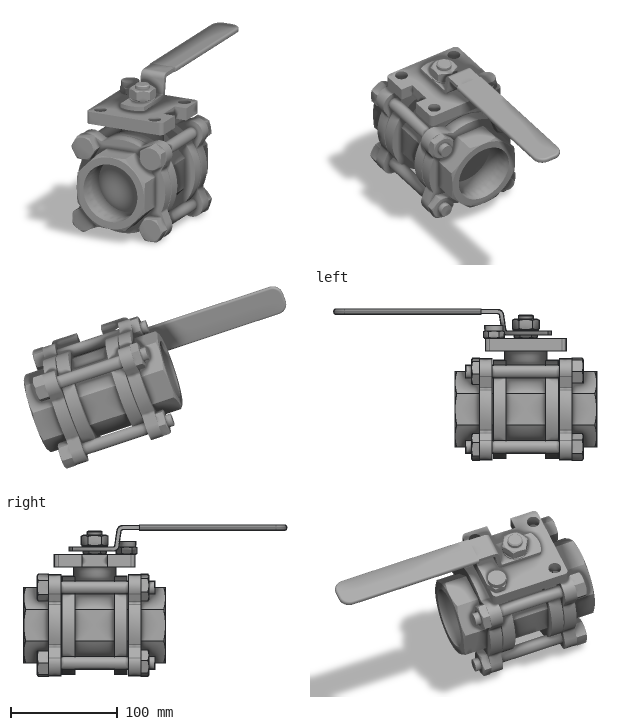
import math

import cadquery as cq


BODY_LENGTH = 133.0
OCTAGON_FLATS = 71.0
OCTAGON_FIRST_VERTEX = 22.5
CHAMFER_ANGLE = 30.0
HEX_FACE_RATIO = 0.97
OCTAGON_FACE_DIAMETER = 70.6
BORE_DIAMETER = 55.17
THREAD_DEPTH = 16.0
THREAD_MOUTH_DIAMETER = 56.6
BORE_DEPTH = 30.5

FLANGE_RADIUS = 46.0
FLANGE_THICKNESS = 12.0
BODY_FLANGE_OUTER_Y = 30.5
CAP_FLANGE_INNER_Y = 31.5
CAP_FLANGE_OUTER_Y = CAP_FLANGE_INNER_Y + FLANGE_THICKNESS
EAR_RADIUS = 12.0
EAR_FILLET = 3.0
EAR_LEADING_ANGLE = -74.5
EAR_TRAILING_ANGLE = 67.5

BOLT_CIRCLE_RADIUS = 50.0
BOLT_ANGLES = (45, 135, 225, 315)
ROD_DIAMETER = 12.0
BOLT_FLATS = 22.0
BOLT_HEAD_HEIGHT = 10.5
BOLT_NUT_HEIGHT = 7.5
BOLT_NUT_TURN = -19.0
ROD_END_Y = 56.4

NECK_DIAMETER = 40.0
PLATE_BOTTOM_Z = 54.5
PLATE_THICKNESS = 12.0
PLATE_TOP_Z = PLATE_BOTTOM_Z + PLATE_THICKNESS
PLATE_SIZE_X = 80.0
PLATE_SIZE_Y = 76.0
PLATE_CORNER_RADIUS = 4.0
NOTCH_DEPTH = 12.0
NOTCH_WIDTH = 24.0
PLATE_HOLE_DIAMETER = 12.0
PLATE_HOLE_RADIUS = 41.0
PLATE_HOLE_ANGLE = 43.0
STOP_HOLE_INDEX = 1

STOP_HEX_FLATS = 17.0
STOP_HEX_HEIGHT = 7.0
STOP_CAP_DIAMETER = 17.0
STOP_CAP_HEIGHT = 5.0

STEM_DIAMETER = 14.0
STEM_TOP_Z = 88.3
STEM_CHAMFER = 1.0
LOCK_NUT_FLATS = 19.0
WASHER_DIAMETER = 24.0
WASHER_THICKNESS = 1.0
STEM_NUT_FLATS = 22.0
STEM_NUT_HEIGHT = 10.0

LEVER_WIDTH = 24.5
LEVER_THICKNESS = 4.0
LEVER_FOOT_Z = 69.4
LEVER_TIP_RADIUS = 24.3
LEVER_RISER_Y = 18.5
LEVER_RISER_LEAN = 8.5
BEND_OUTER_RADIUS = 5.8
BEND_INNER_RADIUS = BEND_OUTER_RADIUS - LEVER_THICKNESS
FOOT_INNER_RADIUS = 1.0
FOOT_OUTER_RADIUS = FOOT_INNER_RADIUS + LEVER_THICKNESS
GRIP_TOP_Z = 94.0
GRIP_THICKNESS = 5.0
GRIP_WIDTH = 28.0
GRIP_START_Y = 42.0
GRIP_END_Y = 180.0
GRIP_CORNER_RADIUS = 10.0
GRIP_EDGE_RADIUS = 2.0
LEVER_TOP_Z = GRIP_TOP_Z - (GRIP_THICKNESS - LEVER_THICKNESS) / 2


def polar(radius, degrees):
    angle = math.radians(degrees)
    return cq.Vector(radius * math.cos(angle), radius * math.sin(angle))


def cylinder_z(diameter, bottom, top):
    return cq.Workplane("XY").workplane(offset=bottom).circle(diameter / 2).extrude(top - bottom)


def regular_prism(sides, flats, height, first_vertex, face_diameter, both_ends=False):
    """Upright prism from z = 0, with its corners turned to a cone at the top or at both ends."""
    corner_radius = flats / 2 / math.cos(math.pi / sides)
    vertices = [polar(corner_radius, first_vertex + i * 360 / sides).toTuple()[:2] for i in range(sides)]
    prism = cq.Workplane("XY").polyline(vertices).close().extrude(height)
    drop = (corner_radius - face_diameter / 2) * math.tan(math.radians(CHAMFER_ANGLE))
    profile = cq.Workplane("XZ")
    if both_ends:
        profile = profile.lineTo(face_diameter / 2, 0).lineTo(corner_radius, drop)
    else:
        profile = profile.lineTo(corner_radius, 0)
    profile = profile.lineTo(corner_radius, height - drop).lineTo(face_diameter / 2, height)
    blank = profile.lineTo(0, height).close().revolve(360, (0, 0, 0), (0, 1, 0))
    return prism.intersect(blank)


def hexagon(flats, height, first_vertex, both_ends=True):
    return regular_prism(6, flats, height, first_vertex, HEX_FACE_RATIO * flats, both_ends)


def facing_front(shape, y):
    """Turn an upright shape so that its base lies at y and it grows toward -Y."""
    return shape.rotate((0, 0, 0), (1, 0, 0), 90).translate((0, y, 0))


def facing_back(shape, y):
    """Mirror image of facing_front: the base lies at y and the shape grows toward +Y."""
    return facing_front(shape, -y).mirror("XZ")


def ear_side(center_angle, side_angle):
    """Points of one straight ear side, from the ear outward to the flange rim."""
    normal = polar(1, center_angle + side_angle)
    inward = polar(1, center_angle + side_angle - math.copysign(90, side_angle))
    ear_center = polar(BOLT_CIRCLE_RADIUS, center_angle)
    fillet_distance = FLANGE_RADIUS + EAR_FILLET
    normal_distance = ear_center.dot(normal) + EAR_RADIUS + EAR_FILLET
    inward_distance = math.sqrt(fillet_distance**2 - normal_distance**2)
    fillet_center = normal * normal_distance + inward * inward_distance
    ear_tangent = ear_center + normal * EAR_RADIUS
    line_end = fillet_center - normal * EAR_FILLET
    rim_point = fillet_center * (FLANGE_RADIUS / fillet_distance)
    toward_middle = ((line_end + rim_point) * 0.5 - fillet_center).normalized()
    fillet_middle = fillet_center + toward_middle * EAR_FILLET
    return ear_tangent, line_end, fillet_middle, rim_point


def cap_flange():
    """Round flange with four ears, each blended into the rim by two straight sides."""
    start = ear_side(BOLT_ANGLES[0], EAR_LEADING_ANGLE)[-1]
    outline = cq.Workplane("XY").moveTo(start.x, start.y)
    for angle in BOLT_ANGLES:
        tangent, line_end, fillet_middle, _ = ear_side(angle, EAR_LEADING_ANGLE)
        outline = outline.threePointArc(fillet_middle, line_end).lineTo(tangent.x, tangent.y)
        tangent, line_end, fillet_middle, rim = ear_side(angle, EAR_TRAILING_ANGLE)
        outline = outline.threePointArc(polar(BOLT_CIRCLE_RADIUS + EAR_RADIUS, angle), tangent)
        outline = outline.lineTo(line_end.x, line_end.y).threePointArc(fillet_middle, rim)
        next_rim = ear_side(angle + 90, EAR_LEADING_ANGLE)[-1]
        rim_middle = (rim + next_rim).normalized() * FLANGE_RADIUS
        outline = outline.threePointArc(rim_middle, next_rim)
    return outline.close().extrude(FLANGE_THICKNESS)


def make_body():
    half = BODY_LENGTH / 2
    end = regular_prism(8, OCTAGON_FLATS, half, OCTAGON_FIRST_VERTEX, OCTAGON_FACE_DIAMETER)
    ring = cq.Workplane("XY").circle(FLANGE_RADIUS).extrude(FLANGE_THICKNESS)
    flange = cap_flange()
    body = facing_front(end, 0).union(facing_back(end, 0))
    body = body.union(facing_front(ring, FLANGE_THICKNESS - BODY_FLANGE_OUTER_Y))
    body = body.union(facing_back(ring, BODY_FLANGE_OUTER_Y - FLANGE_THICKNESS))
    body = body.union(facing_front(flange, -CAP_FLANGE_INNER_Y))
    body = body.union(facing_front(flange, CAP_FLANGE_OUTER_Y))
    return body


def make_bore():
    """Tapered thread bore and plain bore of the front port."""
    mouth_y = -BODY_LENGTH / 2
    bore_radius = BORE_DIAMETER / 2
    mouth_radius = THREAD_MOUTH_DIAMETER / 2
    profile = (
        cq.Workplane("XY")
        .moveTo(0, mouth_y)
        .lineTo(mouth_radius, mouth_y)
        .lineTo(bore_radius, mouth_y + THREAD_DEPTH)
        .lineTo(bore_radius, mouth_y + BORE_DEPTH)
        .lineTo(0, mouth_y + BORE_DEPTH)
        .close()
    )
    return profile.revolve(360, (0, 0, 0), (0, 1, 0))


def make_body_bolt(angle):
    """One through bolt with its head at the front and its nut at the back."""
    turn = angle - BOLT_ANGLES[0]
    rod_length = CAP_FLANGE_OUTER_Y + ROD_END_Y
    rod = cq.Workplane("XY").circle(ROD_DIAMETER / 2).extrude(rod_length)
    head = hexagon(BOLT_FLATS, BOLT_HEAD_HEIGHT, turn + 90, both_ends=False)
    nut = hexagon(BOLT_FLATS, BOLT_NUT_HEIGHT, turn + BOLT_NUT_TURN, both_ends=False)
    bolt = facing_front(rod, ROD_END_Y)
    bolt = bolt.union(facing_front(head, -CAP_FLANGE_OUTER_Y))
    bolt = bolt.union(facing_back(nut, CAP_FLANGE_OUTER_Y))
    center = polar(BOLT_CIRCLE_RADIUS, angle)
    return bolt.translate((center.x, 0, center.y))


def plate_hole_centers():
    return [polar(PLATE_HOLE_RADIUS, PLATE_HOLE_ANGLE + 90 * i) for i in range(4)]


def make_plate():
    plate = (
        cq.Workplane("XY")
        .workplane(offset=PLATE_BOTTOM_Z)
        .rect(PLATE_SIZE_X, PLATE_SIZE_Y)
        .extrude(PLATE_THICKNESS)
        .edges("|Z")
        .fillet(PLATE_CORNER_RADIUS)
    )
    notch = (
        cq.Workplane("XY")
        .workplane(offset=PLATE_BOTTOM_Z)
        .center(PLATE_SIZE_X / 2, 0)
        .rect(2 * NOTCH_DEPTH, NOTCH_WIDTH)
        .extrude(PLATE_THICKNESS)
    )
    plate = plate.cut(notch)
    for index, center in enumerate(plate_hole_centers()):
        if index != STOP_HOLE_INDEX:
            hole = cylinder_z(PLATE_HOLE_DIAMETER, PLATE_BOTTOM_Z, PLATE_TOP_Z)
            plate = plate.cut(hole.translate((center.x, center.y, 0)))
    return plate


def make_stop_bolt():
    center = plate_hole_centers()[STOP_HOLE_INDEX]
    cap = cylinder_z(STOP_CAP_DIAMETER, 0, STOP_HEX_HEIGHT + STOP_CAP_HEIGHT)
    bolt = hexagon(STOP_HEX_FLATS, STOP_HEX_HEIGHT, 90).union(cap)
    return bolt.translate((center.x, center.y, PLATE_TOP_Z))


def make_stem():
    washer_bottom = LEVER_FOOT_Z + LEVER_THICKNESS
    nut_bottom = washer_bottom + WASHER_THICKNESS
    stem = cylinder_z(STEM_DIAMETER, PLATE_TOP_Z, STEM_TOP_Z).faces(">Z").chamfer(STEM_CHAMFER)
    lock_nut_height = LEVER_FOOT_Z - PLATE_TOP_Z
    lock_nut = hexagon(LOCK_NUT_FLATS, lock_nut_height, 90, both_ends=False)
    lock_nut_chamfer_down = lock_nut.rotate((0, 0, 0), (1, 0, 0), 180)
    stem_nut = hexagon(STEM_NUT_FLATS, STEM_NUT_HEIGHT, 90)
    stem = stem.union(lock_nut_chamfer_down.translate((0, 0, LEVER_FOOT_Z)))
    stem = stem.union(cylinder_z(WASHER_DIAMETER, washer_bottom, nut_bottom))
    return stem.union(stem_nut.translate((0, 0, nut_bottom)))


def make_lever():
    """Bent strip: clamped foot, leaning riser and arm reaching into the grip."""
    lean = math.radians(LEVER_RISER_LEAN)
    foot_top = LEVER_FOOT_Z + LEVER_THICKNESS
    arm_bottom = LEVER_TOP_Z - LEVER_THICKNESS
    strip_depth = LEVER_THICKNESS / math.cos(lean)
    arm_end = (GRIP_START_Y + GRIP_END_Y) / 2

    def riser_front(z):
        return LEVER_RISER_Y + (z - foot_top) * math.tan(lean)

    foot_inner = (riser_front(foot_top), foot_top)
    bend_outer = (riser_front(LEVER_TOP_Z), LEVER_TOP_Z)
    bend_inner = (riser_front(arm_bottom) + strip_depth, arm_bottom)
    foot_outer = (riser_front(LEVER_FOOT_Z) + strip_depth, LEVER_FOOT_Z)
    outline = [
        (-LEVER_TIP_RADIUS, LEVER_FOOT_Z),
        (-LEVER_TIP_RADIUS, foot_top),
        foot_inner,
        bend_outer,
        (arm_end, LEVER_TOP_Z),
        (arm_end, arm_bottom),
        bend_inner,
        foot_outer,
    ]
    lever = cq.Workplane("YZ").polyline(outline).close().extrude(LEVER_WIDTH / 2, both=True)
    bends = (
        (foot_inner, FOOT_INNER_RADIUS),
        (foot_outer, FOOT_OUTER_RADIUS),
        (bend_inner, BEND_INNER_RADIUS),
        (bend_outer, BEND_OUTER_RADIUS),
    )
    for (y, z), radius in bends:
        lever = lever.edges(cq.selectors.NearestToPointSelector((0, y, z))).fillet(radius)

    tip_disc = cylinder_z(2 * LEVER_TIP_RADIUS, LEVER_FOOT_Z, foot_top)
    beyond_stem = cq.Workplane("XY").box(LEVER_WIDTH, arm_end, LEVER_TOP_Z, centered=(True, False, False))
    return lever.intersect(tip_disc.union(beyond_stem))


def make_grip():
    grip_length = GRIP_END_Y - GRIP_START_Y
    grip = (
        cq.Workplane("XY")
        .workplane(offset=GRIP_TOP_Z - GRIP_THICKNESS)
        .center(0, GRIP_START_Y + grip_length / 2)
        .rect(GRIP_WIDTH, grip_length)
        .extrude(GRIP_THICKNESS)
        .edges("|Z and >Y")
        .fillet(GRIP_CORNER_RADIUS)
    )
    return grip.faces(">Z or <Z").edges().edges("not(<Y)").fillet(GRIP_EDGE_RADIUS)


result = make_body().union(cylinder_z(NECK_DIAMETER, 0, PLATE_BOTTOM_Z))
bore = make_bore()
result = result.cut(bore).cut(bore.mirror("XZ"))
for bolt_angle in BOLT_ANGLES:
    result = result.union(make_body_bolt(bolt_angle))
for component in (make_plate(), make_stop_bolt(), make_stem(), make_lever(), make_grip()):
    result = result.union(component)